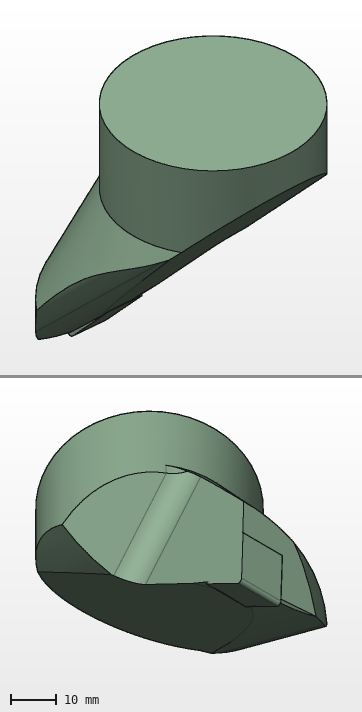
import math

import cadquery as cq


SHANK_RADIUS = 25.0
ARM_RADIUS = 39.0
SHANK_BOTTOM_Z = -23.0
CONE_BOTTOM_Z = -53.0
TIP_Z = -75.0

ARM_ANGLE = 45.0
BACK_DEPTH = 29.2
BACK_RADIUS = 58.0
BACK_CORNER_RADIUS = 7.7
ARM_HALF_WIDTH = 29.62
ENVELOPE_REACH = 150.0

FLAT_OFFSET_Z = -38.3
FLAT_SLOPE_X = 1.135
FLAT_SLOPE_Y = -0.14

RELIEF_POINT = (-38.31, 4.0, -52.0)
RELIEF_SLOPE_Y = -0.035
RELIEF_SLOPE_Z = -0.235

NOSE_FACET_POINT = (-33.6, -10.8, -71.6)
NOSE_FACET_END = (-33.1, -20.6, -69.5)
NOSE_FACET_DROP = -0.5

RAKE_ANGLE = 9.0
RAKE_TIP_Y = 0.37
FLOOR_OFFSET_Z = -44.6
FLOOR_SLOPE_X = -0.603
FLOOR_SLOPE_Y = 0.412
GULLET_RADIUS = 8.0

INSERT_THICKNESS = 11.2
INSERT_EDGE = 13.8
INSERT_NOSE_RADIUS = 0.8
INSERT_NOSE_X = -32.3
INSERT_TOP_RUN = 0.5
INSERT_TOP_RISE = 1.0
INSERT_FRONT_ANGLE = math.degrees(math.atan(-RELIEF_SLOPE_Z))
INSERT_BACK_ANGLE = math.degrees(math.atan(1 / FLAT_SLOPE_X))


def half_space(point, normal):
    """Large block filling the side of a plane that the normal points to."""
    plane = cq.Plane(origin=point, normal=normal)
    side = 2 * ENVELOPE_REACH
    return cq.Workplane(plane).rect(side, side).extrude(ENVELOPE_REACH)


def rake_y(z):
    """Y of the rake face at height z."""
    return RAKE_TIP_Y + (z - TIP_Z) * math.tan(math.radians(RAKE_ANGLE))


def turned_envelope():
    """Shank, flaring cone and arm cylinder as one revolved body."""
    return (
        cq.Workplane("XZ")
        .moveTo(0, 0)
        .lineTo(SHANK_RADIUS, 0)
        .lineTo(SHANK_RADIUS, SHANK_BOTTOM_Z)
        .lineTo(ARM_RADIUS, CONE_BOTTOM_Z)
        .lineTo(ARM_RADIUS, TIP_Z)
        .lineTo(0, TIP_Z)
        .close()
        .revolve(360, (0, 0, 0), (0, 1, 0))
    )


def rounded_back():
    """Prism along the arm with a crowned back and rounded corners."""
    angle = math.radians(ARM_ANGLE)
    along_arm = (math.cos(angle), 0, math.sin(angle))
    plane = cq.Plane(origin=(0, 0, 0), xDir=(0, 1, 0), normal=along_arm)
    crown_center = BACK_RADIUS - BACK_DEPTH
    corner_x = ARM_HALF_WIDTH - BACK_CORNER_RADIUS
    center_distance = BACK_RADIUS - BACK_CORNER_RADIUS
    corner_y = crown_center - math.sqrt(center_distance**2 - corner_x**2)
    lean = math.asin(corner_x / center_distance)
    tangent = (BACK_RADIUS * math.sin(lean), crown_center - BACK_RADIUS * math.cos(lean))
    middle = (lean + math.pi / 2) / 2
    corner_middle = (
        corner_x + BACK_CORNER_RADIUS * math.sin(middle),
        corner_y - BACK_CORNER_RADIUS * math.cos(middle),
    )
    return (
        cq.Workplane(plane)
        .moveTo(-ARM_HALF_WIDTH, ENVELOPE_REACH)
        .lineTo(-ARM_HALF_WIDTH, corner_y)
        .threePointArc((-corner_middle[0], corner_middle[1]), (-tangent[0], tangent[1]))
        .threePointArc((0, -BACK_DEPTH), tangent)
        .threePointArc(corner_middle, (ARM_HALF_WIDTH, corner_y))
        .lineTo(ARM_HALF_WIDTH, ENVELOPE_REACH)
        .close()
        .extrude(ENVELOPE_REACH, both=True)
    )


def back_flat():
    """Material removed by the flat on the crown of the back."""
    return half_space((0, 0, FLAT_OFFSET_Z), (FLAT_SLOPE_X, FLAT_SLOPE_Y, -1))


def end_relief():
    """Material removed in front of the end relief face."""
    return half_space(RELIEF_POINT, (-1, RELIEF_SLOPE_Y, RELIEF_SLOPE_Z))


def nose_facet():
    """Material removed below the narrow nose facet."""
    along = cq.Vector(*NOSE_FACET_END) - cq.Vector(*NOSE_FACET_POINT)
    across = cq.Vector(1, 0, NOSE_FACET_DROP)
    normal = along.cross(across)
    if normal.z > 0:
        normal = normal * -1
    return half_space(NOSE_FACET_POINT, normal.toTuple())


def gullet():
    """Wedge between rake face and sloping floor, rounded where they meet."""
    rake = math.radians(RAKE_ANGLE)
    rake_normal = cq.Vector(0, math.cos(rake), -math.sin(rake))
    floor_normal = cq.Vector(FLOOR_SLOPE_X, FLOOR_SLOPE_Y, -1).normalized()
    slope = math.tan(rake)
    corner_z = (FLOOR_OFFSET_Z + FLOOR_SLOPE_Y * rake_y(0)) / (1 - FLOOR_SLOPE_Y * slope)
    corner = (0, rake_y(corner_z), corner_z)

    axis = rake_normal.cross(floor_normal).normalized()
    plane = cq.Plane(origin=corner, xDir=rake_normal.toTuple(), normal=axis.toTuple())
    floor_angle = math.atan2(floor_normal.dot(plane.yDir), floor_normal.dot(plane.xDir))
    side = math.copysign(1, floor_angle)
    floor_direction = (math.sin(abs(floor_angle)), -math.cos(floor_angle) * side)
    reach = ENVELOPE_REACH
    wedge = (
        cq.Workplane(plane)
        .moveTo(0, 0)
        .lineTo(0, side * reach)
        .lineTo(reach, side * reach)
        .lineTo(reach * floor_direction[0], reach * floor_direction[1])
        .close()
        .extrude(reach, both=True)
    )
    corner_edge = cq.selectors.NearestToPointSelector(corner)
    return wedge.edges(corner_edge).fillet(GULLET_RADIUS)


def shank_relief():
    """Cone material beside the shank above the gullet floor, with its concave blend."""
    wall_y = rake_y(SHANK_BOTTOM_Z)
    blend_y = wall_y + GULLET_RADIUS
    center_distance = SHANK_RADIUS + GULLET_RADIUS
    blend_x = -math.sqrt(center_distance**2 - blend_y**2)
    shrink = SHANK_RADIUS / center_distance
    tangent = (blend_x * shrink, blend_y * shrink)
    start = math.atan2(-blend_y, -blend_x)
    middle = (start - math.pi / 2) / 2
    blend_middle = (
        blend_x + GULLET_RADIUS * math.cos(middle),
        blend_y + GULLET_RADIUS * math.sin(middle),
    )
    depth = SHANK_BOTTOM_Z - FLOOR_OFFSET_Z
    shank = cq.Workplane("XY", origin=(0, 0, FLOOR_OFFSET_Z)).circle(SHANK_RADIUS).extrude(depth)
    return (
        cq.Workplane("XY", origin=(0, 0, SHANK_BOTTOM_Z))
        .moveTo(blend_x, wall_y)
        .threePointArc(blend_middle, tangent)
        .lineTo(0, 0)
        .lineTo(ARM_RADIUS, 0)
        .lineTo(ARM_RADIUS, ARM_RADIUS)
        .lineTo(-ARM_RADIUS, ARM_RADIUS)
        .lineTo(-ARM_RADIUS, wall_y)
        .close()
        .extrude(-depth)
        .cut(shank)
    )


def insert():
    """Pointed insert with a rounded nose, flush with the rake face."""
    rake = math.radians(RAKE_ANGLE)
    into_arm = (0, -math.cos(rake), math.sin(rake))
    plane = cq.Plane(origin=(INSERT_NOSE_X, RAKE_TIP_Y, TIP_Z), xDir=(1, 0, 0), normal=into_arm)
    front = math.radians(INSERT_FRONT_ANGLE)
    back = math.radians(INSERT_BACK_ANGLE)
    radius = INSERT_NOSE_RADIUS
    front_start = (-radius * math.cos(front), radius * (1 - math.sin(front)))
    back_start = (radius * math.cos(back), radius * (1 - math.sin(back)))
    front_end = (
        front_start[0] - INSERT_EDGE * math.sin(front),
        front_start[1] + INSERT_EDGE * math.cos(front),
    )
    top = (front_end[0] + INSERT_TOP_RUN, front_end[1] + INSERT_TOP_RISE)
    back_end = (
        back_start[0] + INSERT_EDGE * math.sin(back),
        back_start[1] + INSERT_EDGE * math.cos(back),
    )
    return (
        cq.Workplane(plane)
        .moveTo(*top)
        .lineTo(*front_end)
        .lineTo(*front_start)
        .threePointArc((0, 0), back_start)
        .lineTo(*back_end)
        .close()
        .extrude(INSERT_THICKNESS)
    )


body = turned_envelope().intersect(rounded_back())
body = body.cut(back_flat()).cut(end_relief()).cut(nose_facet())
body = body.cut(gullet()).cut(shank_relief())
result = body.union(insert())